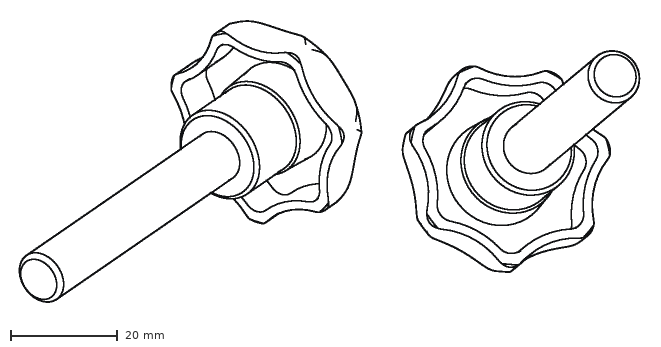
import cadquery as cq
import math

total_length = 85.0
knob_height = 11.9
hub_length = 13.1
rim_y = total_length / 2 - knob_height
hub_end_y = rim_y - hub_length
stud_end_y = -total_length / 2

lobe_count = 7
lobe_half_angle = math.pi / lobe_count
tip_radius = 20.0
valley_radius = 16.75
scallop_radius = 15.0
dome_radius = 69.7
shoulder_radius = 6.9
rim_chamfer = 0.4

valley_wall = 1.8
tip_wall = 2.55
cavity_depth = 8.3

boss_base_radius = 10.0
boss_chamfer = 0.5
moat_radius = 11.3
moat_depth = 0.25
boss_tip_radius = 19.0 / 2
hub_radius = 18.0 / 2
hub_chamfer = 0.8
stud_radius = 10.0 / 2
stud_chamfer = 0.9


def at_angle(radius, angle):
    """Point at a polar angle measured from the second axis of the sketch."""
    return (radius * math.sin(angle), radius * math.cos(angle))


def star_prism(valley, tip, scallop, start_y, height):
    """Prism towards +Y whose outline alternates scallops with tangent rounded tips."""
    scallop_center = valley + scallop
    center_along_tip = scallop_center * math.cos(lobe_half_angle)
    tip_round = (
        tip**2 - 2 * tip * center_along_tip + scallop_center**2 - scallop**2
    ) / (2 * (scallop + tip - center_along_tip))
    tip_center = at_angle(tip - tip_round, lobe_half_angle)
    share = scallop / (scallop + tip_round)
    tangent_x = share * tip_center[0]
    tangent_z = scallop_center + share * (tip_center[1] - scallop_center)
    tangent_radius = math.hypot(tangent_x, tangent_z)
    tangent_angle = math.atan2(tangent_x, tangent_z)

    plane = cq.Plane(origin=(0, start_y, 0), xDir=(-1, 0, 0), normal=(0, 1, 0))
    outline = cq.Workplane(plane).moveTo(*at_angle(tangent_radius, -tangent_angle))
    for lobe in range(lobe_count):
        middle = 2 * lobe * lobe_half_angle
        outline = outline.threePointArc(
            at_angle(valley, middle), at_angle(tangent_radius, middle + tangent_angle)
        )
        outline = outline.threePointArc(
            at_angle(tip, middle + lobe_half_angle),
            at_angle(tangent_radius, middle + 2 * lobe_half_angle - tangent_angle),
        )
    return outline.close().extrude(height)


def domed_blank():
    """Turned body: shallow dome, rounded shoulder and chamfered rim."""
    dome_center_y = total_length / 2 - dome_radius
    shoulder_center_r = tip_radius - shoulder_radius
    center_distance = dome_radius - shoulder_radius
    shoulder_center_y = dome_center_y + math.sqrt(center_distance**2 - shoulder_center_r**2)
    join_angle = math.asin(shoulder_center_r / center_distance)
    dome_mid = at_angle(dome_radius, join_angle / 2)
    dome_end = at_angle(dome_radius, join_angle)
    shoulder_mid = at_angle(shoulder_radius, (join_angle + math.pi / 2) / 2)
    profile = (
        cq.Workplane("XY")
        .moveTo(0, rim_y)
        .lineTo(tip_radius - rim_chamfer, rim_y)
        .lineTo(tip_radius, rim_y + rim_chamfer)
        .lineTo(tip_radius, shoulder_center_y)
        .threePointArc(
            (shoulder_center_r + shoulder_mid[0], shoulder_center_y + shoulder_mid[1]),
            (dome_end[0], dome_center_y + dome_end[1]),
        )
        .threePointArc((dome_mid[0], dome_center_y + dome_mid[1]), (0, total_length / 2))
        .close()
    )
    return profile.revolve(360, (0, 0, 0), (0, 1, 0))


def grip():
    """Domed star with an open cavity on its underside."""
    star = star_prism(valley_radius, tip_radius, scallop_radius, rim_y, knob_height)
    cavity = star_prism(
        valley_radius - valley_wall,
        tip_radius - tip_wall,
        scallop_radius + valley_wall,
        rim_y,
        cavity_depth,
    )
    return domed_blank().intersect(star).cut(cavity)


def base_moat():
    """Ring cut into the cavity floor, sloping deeper towards the boss."""
    floor_y = rim_y + cavity_depth
    profile = cq.Workplane("XY").polyline([
        (0, floor_y),
        (moat_radius, floor_y),
        (boss_base_radius, floor_y + moat_depth),
        (0, floor_y + moat_depth),
    ]).close()
    return profile.revolve(360, (0, 0, 0), (0, 1, 0))


def core():
    """Turned stud, hub and tapered boss, rooted at the bottom of the moat."""
    root_y = rim_y + cavity_depth + moat_depth
    profile = cq.Workplane("XY").polyline([
        (0, stud_end_y),
        (stud_radius - stud_chamfer, stud_end_y),
        (stud_radius, stud_end_y + stud_chamfer),
        (stud_radius, hub_end_y),
        (hub_radius - hub_chamfer, hub_end_y),
        (hub_radius, hub_end_y + hub_chamfer),
        (hub_radius, rim_y),
        (boss_tip_radius, rim_y + boss_chamfer),
        (boss_base_radius, root_y),
        (0, root_y),
    ]).close()
    return profile.revolve(360, (0, 0, 0), (0, 1, 0))


result = grip().cut(base_moat()).union(core())